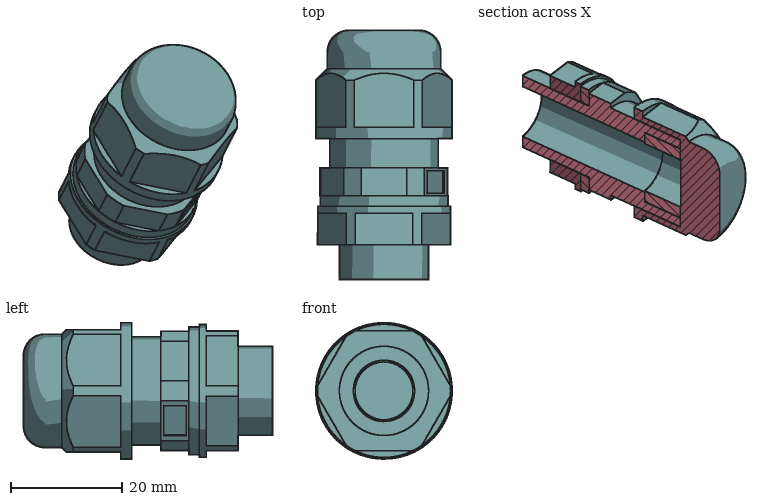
import cadquery as cq
import math

total_length = 44.8

lock_nut_start = 6.23
lock_nut_end = 13.15
gasket_end = 15.05
body_hex_end = 20.05
cap_start = 25.3
cap_chamfer_start = 35.85
cap_neck_start = 37.85
cap_cavity_end = cap_chamfer_start

spigot_radius = 8.0
bore_radius = 5.5
barrel_radius = 9.75
gasket_radius = 11.5
lock_nut_radius = 11.95
cap_radius = 24.5 / 2
cap_neck_radius = 10.2
cap_dome_radius = 3.95

body_hex_apothem = 10.75
lock_nut_apothem = 10.8
lock_nut_collar = 1.25
cap_apothem = 11.0
cap_collar = 2.0

seal_outer_radius = 7.6
seal_bore_radius = 5.2
seal_start = 27.78

recess_length = 4.05
recess_width = 6.2
recess_depth = 0.35
recess_center_y = (gasket_end + body_hex_end) / 2
recess_flat_angles = (30, 210)


def cylinder(radius, start, end):
    """Solid cylinder on the Y axis from start to end."""
    return cq.Workplane("XZ", origin=(0, start, 0)).circle(radius).extrude(start - end)


def hexagon(apothem, start, end):
    """Hexagonal prism on the Y axis with corners on the X axis and flats facing up and down."""
    corner_diameter = 2 * apothem / math.cos(math.radians(30))
    return cq.Workplane("XZ", origin=(0, start, 0)).polygon(6, corner_diameter).extrude(start - end)


def marking_recess(flat_angle):
    """Block that cuts a shallow rectangular recess into the body flat facing flat_angle."""
    block = cq.Workplane("XY").box(recess_depth, recess_length, recess_width)
    block = block.translate((body_hex_apothem - recess_depth / 2, recess_center_y, 0))
    return block.rotate((0, 0, 0), (0, 1, 0), -flat_angle)


def make_body():
    """Hollow body: threaded spigot, round-cornered hexagon and barrel with a seat for the seal."""
    hex_section = cylinder(gasket_radius, gasket_end, body_hex_end)
    hex_section = hex_section.intersect(hexagon(body_hex_apothem, gasket_end, body_hex_end))
    for flat_angle in recess_flat_angles:
        hex_section = hex_section.cut(marking_recess(flat_angle))
    body = cylinder(spigot_radius, 0, gasket_end)
    body = body.union(hex_section)
    body = body.union(cylinder(barrel_radius, body_hex_end, cap_cavity_end))
    body = body.cut(cylinder(bore_radius, 0, cap_cavity_end))
    return body.cut(cylinder(seal_outer_radius, seal_start, cap_cavity_end))


def make_gasket():
    """Flat ring clamped between the lock nut and the body hexagon."""
    ring = cylinder(gasket_radius, lock_nut_end, gasket_end)
    return ring.cut(cylinder(spigot_radius, lock_nut_end, gasket_end))


def make_lock_nut():
    """Round-cornered hexagon nut with a round collar on the gasket side."""
    collar_start = lock_nut_end - lock_nut_collar
    nut = cylinder(lock_nut_radius, lock_nut_start, collar_start)
    nut = nut.intersect(hexagon(lock_nut_apothem, lock_nut_start, collar_start))
    nut = nut.union(cylinder(lock_nut_radius, collar_start, lock_nut_end))
    return nut.cut(cylinder(spigot_radius, lock_nut_start, lock_nut_end))


def make_seal():
    """Plain sealing sleeve seated in the barrel and stopped by the cap."""
    sleeve = cylinder(seal_outer_radius, seal_start, cap_cavity_end)
    return sleeve.cut(cylinder(seal_bore_radius, seal_start, cap_cavity_end))


def make_cap_nut():
    """Domed cap nut: round collar, hexagon chamfered by a cone, and rounded neck."""
    collar_end = cap_start + cap_collar
    blank = (
        cq.Workplane("XY")
        .moveTo(0, collar_end)
        .lineTo(cap_radius, collar_end)
        .lineTo(cap_radius, cap_chamfer_start)
        .lineTo(cap_neck_radius, cap_neck_start)
        .lineTo(0, cap_neck_start)
        .close()
        .revolve(360, (0, 0, 0), (0, 1, 0))
    )
    hex_section = blank.intersect(hexagon(cap_apothem, collar_end, cap_neck_start))
    dome = cylinder(cap_neck_radius, cap_neck_start, total_length)
    dome = dome.faces(">Y").edges().fillet(cap_dome_radius)
    nut = cylinder(cap_radius, cap_start, collar_end)
    nut = nut.union(hex_section)
    nut = nut.union(dome)
    return nut.cut(cylinder(barrel_radius, cap_start, cap_cavity_end))


body = make_body()
gasket = make_gasket()
lock_nut = make_lock_nut()
seal = make_seal()
cap_nut = make_cap_nut()

result = cq.Compound.makeCompound(
    [body.val(), gasket.val(), lock_nut.val(), seal.val(), cap_nut.val()]
)